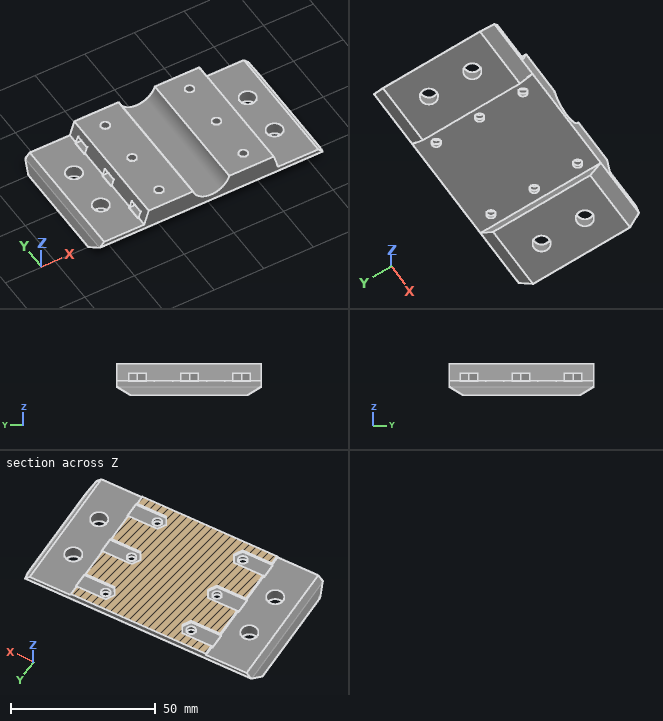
import cadquery as cq
import math

length = 93.3
width = 50.0
height = 11.0

foot_height = 3.0
flange_top = 5.0

half_length_at_foot_top = 45.0
half_length_at_flange_top = 43.1
block_half_base = 27.0
block_half_top = 25.2
recess_half_top = 21.2
recess_half_bottom = 21.8

foot_bevel_run = 4.85

channel_half_width = 7.3
channel_depth = 5.4

hole_pitch = 18.0
hole_pattern_y = -0.2
flange_hole_diameter = 6.25
flange_hole_x = 35.0
screw_hole_diameter = 3.4
screw_hole_x = 17.0
flange_rows = [hole_pattern_y + i * hole_pitch for i in (-0.5, 0.5)]
screw_rows = [hole_pattern_y + i * hole_pitch for i in (-1, 0, 1)]
nut_width = 6.1
nut_slot_top = 7.65
nut_slot_floor = 4.85
nut_slot_mouth_x = 27.25


def extrude_across_width(profile):
    """Extrude an XZ profile over the full width, centred on Y = 0."""
    return profile.extrude(width / 2, both=True)


def make_body():
    """Flanged block with the channel and the shallow recess between the feet."""
    right_side = [
        (block_half_top, height),
        (block_half_base, flange_top),
        (half_length_at_flange_top, flange_top),
        (half_length_at_foot_top, foot_height),
        (length / 2, 0),
        (recess_half_bottom, 0),
        (recess_half_top, foot_height),
    ]
    left_side = [(-x, z) for x, z in reversed(right_side)]
    profile = (
        cq.Workplane("XZ")
        .moveTo(-channel_half_width, height)
        .threePointArc((0, height - channel_depth), (channel_half_width, height))
    )
    for x, z in right_side + left_side:
        profile = profile.lineTo(x, z)
    return extrude_across_width(profile.close())


def make_foot_bevel(side):
    """Wedge that bevels the feet at the Y end given by side (+1 or -1)."""
    outer_y = side * width / 2
    inner_y = outer_y - side * foot_bevel_run
    corners = [(outer_y, 0), (inner_y, 0), (outer_y, foot_height)]
    return cq.Workplane("YZ").polyline(corners).close().extrude(length / 2, both=True)


def make_holes(diameter, x_positions, y_positions):
    """Vertical through holes at every pairing of the given positions."""
    points = [(x, y) for x in x_positions for y in y_positions]
    return cq.Workplane("XY").pushPoints(points).circle(diameter / 2).extrude(height)


def make_nut_slot(side, y):
    """Slot open at the block's sloping side, ending in half a hexagon around the screw hole."""
    flat_x = nut_width / 2 * math.tan(math.pi / 6)
    apex_x = nut_width / math.sqrt(3)
    corners = [
        (side * nut_slot_mouth_x, y + nut_width / 2),
        (side * (screw_hole_x - flat_x), y + nut_width / 2),
        (side * (screw_hole_x - apex_x), y),
        (side * (screw_hole_x - flat_x), y - nut_width / 2),
        (side * nut_slot_mouth_x, y - nut_width / 2),
    ]
    return (
        cq.Workplane("XY", origin=(0, 0, nut_slot_floor))
        .polyline(corners)
        .close()
        .extrude(nut_slot_top - nut_slot_floor)
    )


result = make_body()
result = result.cut(make_holes(flange_hole_diameter, (-flange_hole_x, flange_hole_x), flange_rows))
result = result.cut(make_holes(screw_hole_diameter, (-screw_hole_x, screw_hole_x), screw_rows))
for side in (-1, 1):
    result = result.cut(make_foot_bevel(side))
    for row_y in screw_rows:
        result = result.cut(make_nut_slot(side, row_y))